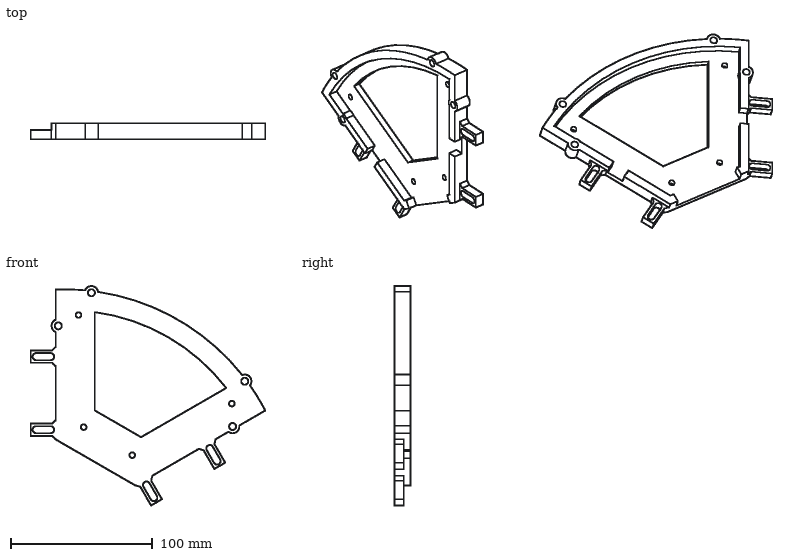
import cadquery as cq
import math

AXIS_ANGLE = 60

thickness = 11.5
edge_length = 171.0
outer_crown = 172.9
edge_start = 65.0

window_side = 27.7
window_top = 155.0
window_bottom = 85.6
inner_crown = 158.6

tab_depth = 6.6
tab_reach = 17.8
tab_width = 9.0
tab_flare = 2.5
tab_heights = (123.6, 72.0)
slot_width = 4.8
slot_outer = 16.3
slot_inner = 1.2

boss_diameter = 9.6
boss_hole_diameter = 4.8
boss_centers = ((25.2, 168.8), (1.8, 145.4))
pin_hole_diameter = 3.8
pin_hole_centers = ((16.1, 153.0), (19.7, 73.8))

floor = 4.8
wall = 6.1
mouth_top = 115.7
mouth_bottom = 103.4
cut_off_land = 6.3


def mirrored(point):
    """Reflect an (X, Z) point across the symmetry axis."""
    x, z = point
    cosine = math.cos(math.radians(2 * AXIS_ANGLE))
    sine = math.sin(math.radians(2 * AXIS_ANGLE))
    return (cosine * x + sine * z, sine * x - cosine * z)


def on_axis(distance):
    """Point on the symmetry axis at a distance from the origin."""
    angle = math.radians(AXIS_ANGLE)
    return (distance * math.cos(angle), distance * math.sin(angle))


def both_sides(points):
    """The given points together with their mirror images."""
    return list(points) + [mirrored(point) for point in points]


def front_plane():
    return cq.Workplane("XZ")


def sector(top, bottom, crown, start=0.0):
    """Arc-topped solid, symmetric about the axis, from Y = start to the back face."""
    return (
        cq.Workplane("XZ", origin=(0, start, 0))
        .moveTo(*bottom)
        .lineTo(*top)
        .threePointArc(on_axis(crown), mirrored(top))
        .lineTo(*mirrored(bottom))
        .close()
        .extrude(start - thickness)
    )


def tab(height, side):
    """Flared tab on one straight edge; side places each outline point."""
    half = tab_width / 2
    root = half + tab_flare
    embed = 0.8
    upper = [(embed, root), (0, root), (-tab_flare, half), (-tab_reach, half)]
    lower = [(x, -z) for x, z in reversed(upper)]
    outline = [side((x, height + z)) for x, z in upper + lower]
    return front_plane().polyline(outline).close().extrude(-tab_depth)


def slot(height, side, angle):
    """Round-ended slot through a tab."""
    center = side((-(slot_outer + slot_inner) / 2, height))
    length = slot_outer - slot_inner
    return front_plane().center(*center).slot2D(length, slot_width, angle).extrude(-thickness)


def cylinders(centers, diameter):
    return front_plane().pushPoints(both_sides(centers)).circle(diameter / 2).extrude(-thickness)


def back_cavity():
    """Recess inside the rim wall, kept clear of the bosses."""
    slope = math.radians(90 - AXIS_ANGLE)
    top = (wall, edge_length - wall)
    bottom = (wall, edge_start + wall / math.cos(slope) - wall * math.tan(slope))
    cavity = sector(top, bottom, outer_crown - wall, floor)
    return cavity.cut(cylinders(boss_centers, boss_diameter))


def mouth(side):
    """Opening through the rim wall on one straight edge."""
    corners = [(0, mouth_bottom), (0, mouth_top), (wall, mouth_top), (wall, mouth_bottom)]
    outline = [side(corner) for corner in corners]
    return cq.Workplane("XZ", origin=(0, floor, 0)).polyline(outline).close().extrude(floor - thickness)


def cut_off_mouth():
    """Opening through the rim wall along most of the cut-off side."""
    cut_off_length = edge_start
    center_distance = edge_start * math.cos(math.radians(90 - AXIS_ANGLE)) + wall / 2
    return (
        cq.Workplane("XZ", origin=(0, floor, 0))
        .transformed(rotate=(0, 0, AXIS_ANGLE))
        .center(center_distance, 0)
        .rect(wall, cut_off_length - 2 * cut_off_land)
        .extrude(floor - thickness)
    )


edge_sides = ((lambda point: point, 0), (mirrored, 2 * AXIS_ANGLE))

result = sector((0, edge_length), (0, edge_start), outer_crown)
result = result.union(cylinders(boss_centers, boss_diameter))
result = result.cut(sector((window_side, window_top), (window_side, window_bottom), inner_crown))
result = result.cut(back_cavity())
result = result.cut(cut_off_mouth())

for place_on_edge, slot_angle in edge_sides:
    result = result.cut(mouth(place_on_edge))
    for tab_height in tab_heights:
        result = result.union(tab(tab_height, place_on_edge))
        result = result.cut(slot(tab_height, place_on_edge, slot_angle))

result = result.cut(cylinders(boss_centers, boss_hole_diameter))
result = result.cut(cylinders(pin_hole_centers, pin_hole_diameter))